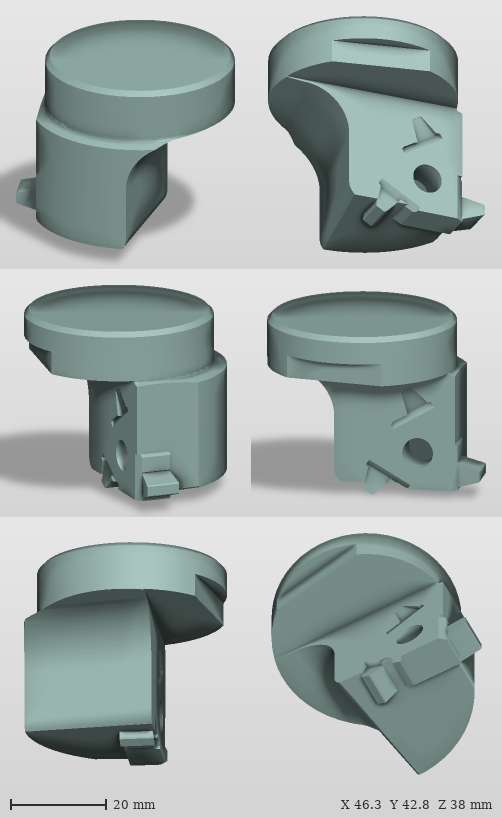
import cadquery as cq
import math

cap_radius = 40.0 / 2
cap_height = 10.55
cap_chamfer = 1.0
step_y = 16.95
step_top = 4.85

shank_radius = 22.75
neck_radius = 20.5
neck_drop = 0.7
shoulder_drop = 1.45
shank_bottom = -24.7
bottom_tilt = 1.2
flat_chamfer = 0.35
flute_x = 4.25
flute_radius = 10.05
flute_top = -0.5
corner_radius = 3.7
corner_width = 1.25

seat_angle = 10
side_flat = 20.7
rake_y = 4.7
seat_floor_y = -2.8

insert_x = -12.75
insert_z = -17.85
tooth_count = 3
hole_diameter = 6.5
side_distance = 8.3
side_top = 2.1
side_bevel = 0.32
side_bevel_height = 0.7
root_notch = 0.3
tip_chamfer = 0.25
tip_distance = 13.2
tooth_offset = -4.7
tip_width = 2.5
upper_root_z = -2.1
lower_root_x = -8.55
lower_root_z = -7.3
side_bottom = -8.05
groove_width = 1.4
groove_depth = 1.09
tip_drop = 0.2

clear = 55.6


def turn_to_seat(body):
    return body.rotate((0, 0, 0), (0, 0, 1), seat_angle)


def make_cap():
    cap = cq.Workplane("XY").circle(cap_radius).extrude(cap_height).faces(">Z").chamfer(cap_chamfer)
    notch = cq.Workplane("XY").box(clear, clear, step_top, centered=(True, False, False))
    return cap.cut(notch.translate((0, step_y, 0)))


def make_round_shank():
    """Turned shank with a small neck fillet and a conical shoulder."""
    low = -clear
    neck_mid = (
        neck_radius - (neck_radius - cap_radius) * math.sin(math.pi / 4),
        -neck_drop * math.sin(math.pi / 4),
    )
    return (
        cq.Workplane("XZ")
        .lineTo(cap_radius, 0)
        .threePointArc(neck_mid, (neck_radius, -neck_drop))
        .lineTo(shank_radius, -shoulder_drop)
        .lineTo(shank_radius, low)
        .lineTo(0, low)
        .close()
        .revolve(360, (0, 0, 0), (0, 1, 0))
    )


def make_flute_envelope():
    """Side outline kept by the flute, as a prism along Y."""
    corner_rise = math.sqrt(corner_radius**2 - (corner_radius - corner_width) ** 2)
    corner_top = shank_bottom + corner_rise
    half_angle = math.acos(1 - corner_width / corner_radius) / 2
    corner_mid = (
        flute_x - corner_radius * (1 - math.cos(half_angle)),
        corner_top - corner_radius * math.sin(half_angle),
    )
    inset = flute_radius * (1 - math.sin(math.pi / 4))
    flute_mid = (flute_x + inset, flute_top - inset)
    return (
        cq.Workplane("XZ")
        .moveTo(-clear, 0)
        .lineTo(-clear, -clear)
        .lineTo(flute_x - corner_width, -clear)
        .lineTo(flute_x - corner_width, shank_bottom)
        .threePointArc(corner_mid, (flute_x, corner_top))
        .lineTo(flute_x, flute_top - flute_radius)
        .threePointArc(flute_mid, (flute_x + flute_radius, flute_top))
        .lineTo(cap_radius, 0)
        .close()
        .extrude(clear, both=True)
    )


def make_shank():
    seat_block = cq.Workplane("XY").box(2 * clear, 2 * clear, 3 * clear)
    seat_block = turn_to_seat(seat_block.translate((clear - side_flat, rake_y - clear, 0)))
    bottom_block = cq.Workplane("XY").box(3 * clear, 3 * clear, clear, centered=(True, True, False))
    bottom_block = bottom_block.rotate((0, 0, 0), (1, 0, 0), -bottom_tilt).translate((0, 0, shank_bottom))
    shank = make_round_shank().intersect(make_flute_envelope())
    shank = shank.intersect(seat_block).intersect(bottom_block)
    angle = math.radians(seat_angle)
    flat_bottom = (-side_flat * math.cos(angle), -side_flat * math.sin(angle), shank_bottom)
    return shank.edges(cq.NearestToPointSelector(flat_bottom)).chamfer(flat_chamfer)


def tooth_points(index):
    """One third of the insert outline, turned about the insert centre."""
    points = [
        (side_bevel - side_distance, side_top),
        (-side_distance, side_top - side_bevel_height),
        (-side_distance, upper_root_z + root_notch),
        (root_notch - side_distance, upper_root_z),
        (tip_chamfer - tip_distance, tooth_offset + tip_width / 2),
        (-tip_distance, tooth_offset + tip_width / 2 - tip_chamfer),
        (-tip_distance, tooth_offset - tip_width / 2 + tip_chamfer),
        (tip_chamfer - tip_distance, tooth_offset - tip_width / 2),
        (lower_root_x, lower_root_z),
        (-side_distance, side_bottom),
    ]
    angle = math.radians(360 / tooth_count * index)
    return [
        (x * math.cos(angle) - z * math.sin(angle), x * math.sin(angle) + z * math.cos(angle))
        for x, z in points
    ]


def make_insert_blank():
    """Insert outline filled from the pocket floor to the back face, in the seat frame."""
    outline = []
    for index in range(tooth_count):
        outline += tooth_points(index)
    blank = cq.Workplane("XZ", origin=(0, seat_floor_y, 0)).polyline(outline).close()
    return blank.extrude(seat_floor_y - rake_y)


def make_chip_groove():
    groove = cq.Workplane("XY").polyline([
        (groove_width - side_distance, rake_y),
        (-side_distance, rake_y - groove_depth),
        (-tip_distance, rake_y - tip_drop),
        (-tip_distance, rake_y),
    ]).close()
    return groove.extrude(side_top - side_bottom).translate((0, 0, side_bottom))


def place_in_seat(body):
    return turn_to_seat(body.translate((insert_x, 0, insert_z)))


def make_insert():
    insert = make_insert_blank()
    hole = cq.Workplane("XZ").circle(hole_diameter / 2).extrude(clear, both=True)
    insert = insert.cut(hole)
    for index in range(tooth_count):
        turn = 360 / tooth_count * index
        insert = insert.cut(make_chip_groove().rotate((0, 0, 0), (0, 1, 0), -turn))
    return place_in_seat(insert)


holder = make_cap().union(make_shank()).cut(place_in_seat(make_insert_blank()))
insert = make_insert()

result = cq.Compound.makeCompound([holder.solids().val(), insert.solids().val()])